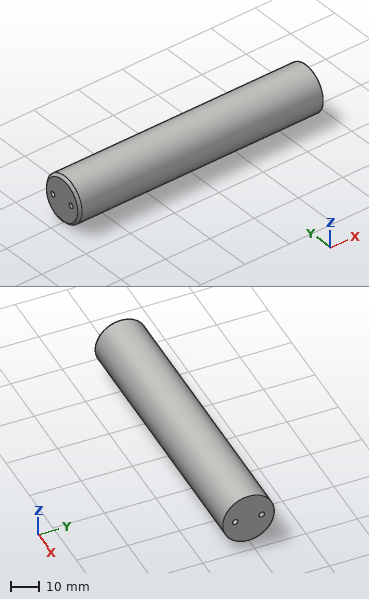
import cadquery as cq

length = 110.0
diameter = 20.0
chamfer = 1.1

channel_diameter = 2.1
channel_spacing = 10.3
channel_start_angle = -4.0
helix_pitch = 108.9


def make_rod():
    rod = cq.Workplane("YZ").circle(diameter / 2).extrude(length)
    return rod.faces("<X").chamfer(chamfer)


def make_channel(angle):
    """Helical channel through the full length, starting at the given angle."""
    twist = 360.0 * length / helix_pitch
    channel = (
        cq.Workplane("YZ")
        .pushPoints([(channel_spacing / 2, 0)])
        .circle(channel_diameter / 2)
        .twistExtrude(length, twist)
    )
    return channel.rotate((0, 0, 0), (1, 0, 0), angle)


result = make_rod()
for half_turn in (0, 180):
    result = result.cut(make_channel(channel_start_angle + half_turn))